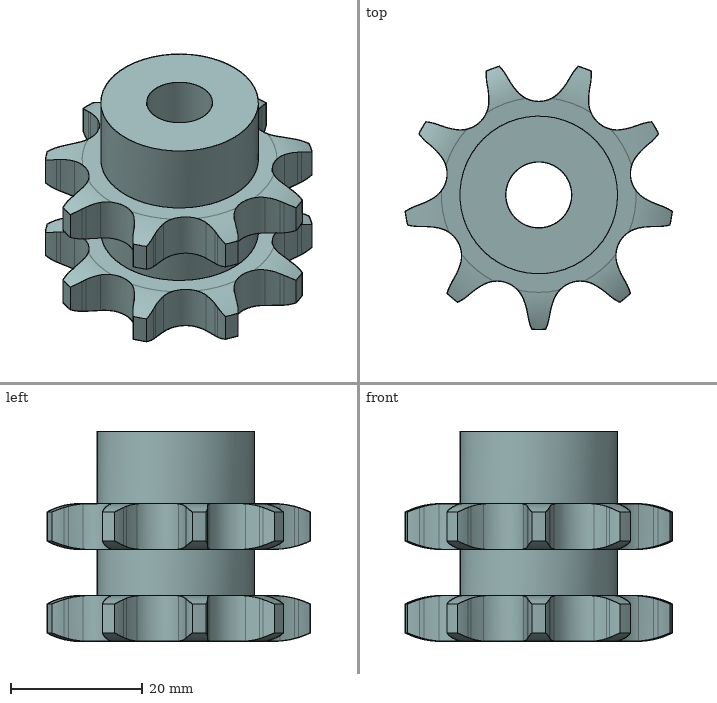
import cadquery as cq
import math


CHAIN_PITCH = 12.7
ROLLER_DIAMETER = 8.51
TOOTH_COUNT = 9

HUB_DIAMETER = 24.0
BORE_DIAMETER = 10.0
TOTAL_HEIGHT = 32.0
RIM_WIDTH = 7.0
RIM_SPACING = 14.0
RIM_BASES = (0.0, RIM_SPACING)

TIP_RADIUS = 20.5
RELIEF_RADIUS = 13.0
RELIEF_DEPTH = 1.3

SEAT_CLEARANCE = 0.0762
SEAT_FACTOR = 1.005
WORKING_CENTER_FACTOR = 0.8
TOPPING_CENTER_FACTOR = 1.4
TOOTH_ANGLE = 360.0 / TOOTH_COUNT
SEAT_ANGLE = math.radians(35.0 + 60.0 / TOOTH_COUNT)
WORKING_ANGLE = math.radians(18.0 - 56.0 / TOOTH_COUNT)
TOPPING_ANGLE = math.radians(17.0 - 64.0 / TOOTH_COUNT)

PITCH_RADIUS = CHAIN_PITCH / (2 * math.sin(math.pi / TOOTH_COUNT))
SEAT_RADIUS = (SEAT_FACTOR * ROLLER_DIAMETER + SEAT_CLEARANCE) / 2
WORKING_CENTER_OFFSET = WORKING_CENTER_FACTOR * ROLLER_DIAMETER
WORKING_RADIUS = SEAT_RADIUS + WORKING_CENTER_OFFSET
TOPPING_CENTER_OFFSET = TOPPING_CENTER_FACTOR * ROLLER_DIAMETER
FLAT_LENGTH = (
    TOPPING_CENTER_OFFSET * math.sin(TOPPING_ANGLE)
    - WORKING_CENTER_OFFSET * math.sin(WORKING_ANGLE)
)

CUTTER_OVERLAP = 2.0
CUTTER_RADIUS = TIP_RADIUS + CUTTER_OVERLAP


def polar(center, radius, angle):
    """Point at the given radius and angle (radians) from a center."""
    return (
        center[0] + radius * math.cos(angle),
        center[1] + radius * math.sin(angle),
    )


def mirrored(point):
    """The point reflected across the gap's center line (the Y axis)."""
    return (-point[0], point[1])


def gap_cutter():
    """Prism of one tooth gap, centered on +Y, as tall as a rim."""
    roller_center = (0.0, PITCH_RADIUS)
    working_center = polar(roller_center, WORKING_CENTER_OFFSET, math.pi - SEAT_ANGLE)
    topping_center = polar(roller_center, TOPPING_CENTER_OFFSET, -math.pi / TOOTH_COUNT)

    seat_bottom = polar(roller_center, SEAT_RADIUS, -math.pi / 2)
    seat_end = polar(roller_center, SEAT_RADIUS, -SEAT_ANGLE)
    flat_angle = WORKING_ANGLE - SEAT_ANGLE
    working_mid = polar(working_center, WORKING_RADIUS, flat_angle - WORKING_ANGLE / 2)
    flat_start = polar(working_center, WORKING_RADIUS, flat_angle)
    flat_end = polar(flat_start, FLAT_LENGTH, flat_angle + math.pi / 2)

    topping_radius = math.dist(topping_center, flat_end)
    center_distance = math.hypot(*topping_center)
    center_angle = math.atan2(topping_center[1], topping_center[0])
    apex_offset = math.acos(
        (center_distance**2 + CUTTER_RADIUS**2 - topping_radius**2)
        / (2 * center_distance * CUTTER_RADIUS)
    )
    topping_end = polar((0.0, 0.0), CUTTER_RADIUS, center_angle + apex_offset)
    start_angle = math.atan2(flat_end[1] - topping_center[1], flat_end[0] - topping_center[0])
    end_angle = math.atan2(topping_end[1] - topping_center[1], topping_end[0] - topping_center[0])
    topping_mid = polar(topping_center, topping_radius, (start_angle + end_angle) / 2)

    return (
        cq.Workplane("XY")
        .moveTo(*mirrored(seat_end))
        .threePointArc(seat_bottom, seat_end)
        .threePointArc(working_mid, flat_start)
        .lineTo(*flat_end)
        .threePointArc(topping_mid, topping_end)
        .lineTo(*mirrored(topping_end))
        .threePointArc(mirrored(topping_mid), mirrored(flat_end))
        .lineTo(*mirrored(flat_start))
        .threePointArc(mirrored(working_mid), mirrored(seat_end))
        .close()
        .extrude(RIM_WIDTH)
    )


def rim_blank():
    """Disc whose two faces curve inward toward the tip cylinder."""
    relief_reach = math.sqrt(RELIEF_RADIUS**2 - (RELIEF_RADIUS - RELIEF_DEPTH) ** 2)
    relief_start = TIP_RADIUS - relief_reach
    half_angle = math.asin(relief_reach / RELIEF_RADIUS) / 2
    mid_radius = relief_start + RELIEF_RADIUS * math.sin(half_angle)
    mid_depth = RELIEF_RADIUS * (1 - math.cos(half_angle))
    return (
        cq.Workplane("XZ")
        .lineTo(relief_start, 0)
        .threePointArc((mid_radius, mid_depth), (TIP_RADIUS, RELIEF_DEPTH))
        .lineTo(TIP_RADIUS, RIM_WIDTH - RELIEF_DEPTH)
        .threePointArc((mid_radius, RIM_WIDTH - mid_depth), (relief_start, RIM_WIDTH))
        .lineTo(0, RIM_WIDTH)
        .close()
        .revolve(360, (0, 0), (0, 1))
    )


def toothed_rim():
    """One rim with a gap centered on +Y and a tooth pointing along -Y."""
    rim = rim_blank()
    cutter = gap_cutter()
    for index in range(TOOTH_COUNT):
        rim = rim.cut(cutter.rotate((0, 0, 0), (0, 0, 1), index * TOOTH_ANGLE))
    return rim


def sprocket():
    """Hub joined to both rims, then bored through."""
    body = cq.Workplane("XY").circle(HUB_DIAMETER / 2).extrude(TOTAL_HEIGHT)
    rim = toothed_rim()
    for base in RIM_BASES:
        body = body.union(rim.translate((0, 0, base)))
    bore = cq.Workplane("XY").circle(BORE_DIAMETER / 2).extrude(TOTAL_HEIGHT)
    return body.cut(bore)


result = sprocket()